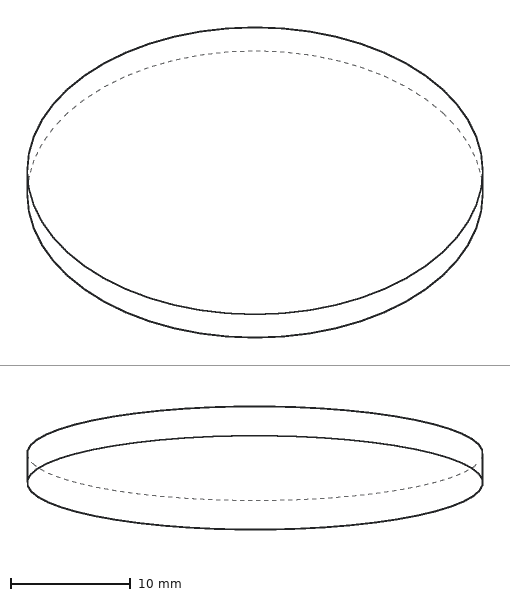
import cadquery as cq

diameter = 38.1
edge_thickness = 2.5
centre_thickness = 4.0

radius = diameter / 2
apex = centre_thickness / 2
dome_height = (centre_thickness - edge_thickness) / 2

dome_radius = (radius**2 + dome_height**2) / (2 * dome_height)


def face_sphere(side):
    """Ball bounding the upper (side=1) or lower (side=-1) face, its seam crossing the lens along Y."""
    ball = cq.Workplane("XY").sphere(dome_radius)
    ball = ball.rotate((0, 0, 0), (1, 0, 0), 90)
    ball = ball.rotate((0, 0, 0), (0, 1, 0), -90 * side)
    return ball.translate((0, 0, side * (apex - dome_radius)))


blank = cq.Workplane("XY", origin=(0, 0, -centre_thickness)).circle(radius).extrude(2 * centre_thickness)
blank = blank.rotate((0, 0, 0), (0, 0, 1), 180)

lens = blank.intersect(face_sphere(1), clean=False)
result = lens.intersect(face_sphere(-1), clean=False)